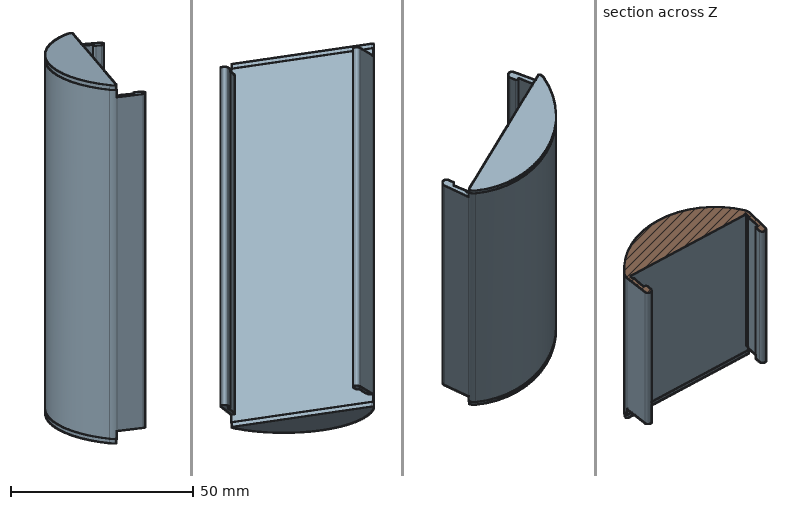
import math

import cadquery as cq

LENGTH = 105.0
WIDTH = 42.9
DEPTH = 21.7
HALF_WIDTH = WIDTH / 2

CLIP_HEIGHT = 8.6
LENS_DEPTH = DEPTH - CLIP_HEIGHT
SIDE_RADIUS = 3.4

CAP_THICKNESS = 1.4
CAP_BACK_RADIUS = 0.4

CLIP_END_GAP = 3.6
CLIP_TIP_INSET = 0.4
CLIP_ROOT_THICKNESS = 1.3
CLIP_THICKNESS = 1.6
CLIP_STEP_HEIGHT = 1.3
HEAD_THICKNESS = 2.5
HEAD_HEIGHT = 3.2
TIP_RADIUS = 1.0
HEAD_LOWER_RADIUS = 0.5

HOUSING_LENGTH = LENGTH - 2 * CAP_THICKNESS
CLIP_LENGTH = LENGTH - 2 * CLIP_END_GAP

SIDE_CENTRE_X = HALF_WIDTH - SIDE_RADIUS
FRONT_RADIUS = (SIDE_CENTRE_X**2 + LENS_DEPTH**2 - SIDE_RADIUS**2) / (2 * (LENS_DEPTH - SIDE_RADIUS))
FRONT_CENTRE_Y = FRONT_RADIUS - LENS_DEPTH


def centred_extrusion(outline, length):
    """Extrude a closed XY outline along Z, centred on Z = 0."""
    return outline.extrude(length / 2, both=True)


def lens_bar(length):
    """Bar with a flat back, a broad curved front and rounded sides."""
    side_angle = math.atan2(FRONT_CENTRE_Y, SIDE_CENTRE_X)
    joint_x = SIDE_CENTRE_X + SIDE_RADIUS * math.cos(side_angle)
    joint_y = -SIDE_RADIUS * math.sin(side_angle)
    middle_x = SIDE_CENTRE_X + SIDE_RADIUS * math.cos(side_angle / 2)
    middle_y = -SIDE_RADIUS * math.sin(side_angle / 2)
    outline = (
        cq.Workplane("XY")
        .moveTo(-HALF_WIDTH, 0)
        .threePointArc((-middle_x, middle_y), (-joint_x, joint_y))
        .threePointArc((0, -LENS_DEPTH), (joint_x, joint_y))
        .threePointArc((middle_x, middle_y), (HALF_WIDTH, 0))
        .close()
    )
    return centred_extrusion(outline, length)


def make_clip():
    """Left clip arm: a wall leaning inwards, relieved at its root, with a rounded hook head."""
    root_x = -HALF_WIDTH + CLIP_ROOT_THICKNESS
    wall_x = -HALF_WIDTH + CLIP_THICKNESS
    head_x = -HALF_WIDTH + HEAD_THICKNESS
    head_y = CLIP_HEIGHT - HEAD_HEIGHT
    outline = (
        cq.Workplane("XY")
        .moveTo(-HALF_WIDTH, 0)
        .lineTo(root_x, 0)
        .lineTo(root_x, CLIP_STEP_HEIGHT)
        .lineTo(wall_x, CLIP_STEP_HEIGHT)
        .lineTo(wall_x, head_y)
        .lineTo(head_x, head_y)
        .lineTo(head_x, CLIP_HEIGHT)
        .lineTo(-HALF_WIDTH + CLIP_TIP_INSET, CLIP_HEIGHT)
        .close()
    )
    clip = centred_extrusion(outline, CLIP_LENGTH)
    clip = clip.faces(">Y").edges("|Z").fillet(TIP_RADIUS)
    return clip.edges(cq.selectors.NearestToPointSelector((head_x, head_y, 0))).fillet(HEAD_LOWER_RADIUS)


def make_housing():
    """Lens-shaped bar with a clip arm along each side of its back."""
    left_clip = make_clip()
    right_clip = left_clip.mirror("YZ")
    return lens_bar(HOUSING_LENGTH).union(left_clip).union(right_clip).solids()


def make_cap(end):
    """End cap with rounded back corners; end is +1 for the top and -1 for the bottom."""
    cap = lens_bar(CAP_THICKNESS).faces(">Y").edges("|Z").fillet(CAP_BACK_RADIUS)
    return cap.translate((0, 0, end * (LENGTH - CAP_THICKNESS) / 2)).solids()


housing = make_housing()
caps = [make_cap(end) for end in (1, -1)]

result = cq.Compound.makeCompound([housing.val(), *[cap.val() for cap in caps]])